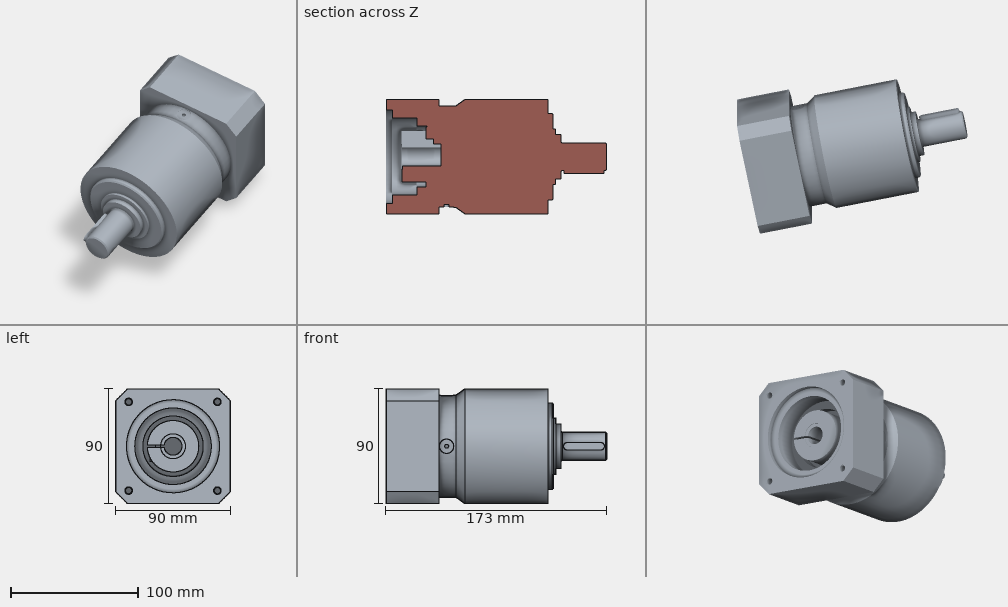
import cadquery as cq
import math

flange_side = 90.0
flange_length = 41.5
flange_corner_cut = 9.4
bolt_spacing = 69.5
bolt_hole_diameter = 5.0
bolt_hole_depth = 20.0
bolt_spot_diameter = 5.9
bolt_spot_depth = 0.1

neck_diameter = 80.0
neck_end = 54.7
body_diameter = 90.0
cone_end = 61.7
body_end = 127.0
pilot_diameter = 68.0
pilot_end = 131.0
pilot_chamfer = 1.0
cover_diameter = 44.0
cover_end = 133.0
collar_diameter = 35.0
collar_end = 137.0

shaft_diameter = 22.0
shaft_end = 173.0
shaft_chamfer = 1.0
shaft_foot_length = 1.0
shaft_foot_step = 0.6
key_width = 6.0
key_length = 32.0
key_start = 139.0
key_top = 13.5
key_seat = 7.5

spigot_diameter = 73.0
spigot_depth = 5.0
recess_diameter = 60.0
recess_depth = 24.0
well_diameter = 47.4
well_depth = 32.0
well_floor_rounding = 1.05

hub_diameter = 40.3
hub_face = 12.3
bush_diameter = 19.5
bush_setback = 0.5
bore_diameter = 14.0
bore_end = 43.0
slit_width = 1.6
slit_inner_step_radius = 13.8
slit_middle_end = 37.0
slit_outer_end = well_depth - well_floor_rounding
screw_offset = 13.8
screw_diameter = 8.5
screw_bottom = -12.0
screw_top = 0.0
screw_axis_x = 22.0

plug_x = 47.4
plug_diameter = 11.2
plug_face_radius = 39.5
socket_across_flats = 3.0
socket_depth = 2.0


def cylinder(diameter, start, end):
    """Solid cylinder on the X axis between two X positions."""
    return cq.Workplane("YZ", origin=(start, 0, 0)).circle(diameter / 2).extrude(end - start)


def truncated_cone(start_diameter, end_diameter, start, end):
    """Solid cone frustum on the X axis between two X positions."""
    profile = [
        (start, 0),
        (start, start_diameter / 2),
        (end, end_diameter / 2),
        (end, 0),
    ]
    return cq.Workplane("XY").polyline(profile).close().revolve(360, (0, 0, 0), (1, 0, 0))


def bolt_pattern(diameter, depth):
    """Four round pins on the bolt square, reaching in from the front face."""
    corners = cq.Workplane("YZ").rect(bolt_spacing, bolt_spacing, forConstruction=True).vertices()
    return corners.circle(diameter / 2).extrude(depth)


def make_flange():
    """Square plate with cut corners and four spot-faced bolt holes."""
    block = cq.Workplane("YZ").rect(flange_side, flange_side).extrude(flange_length)
    block = block.edges("|X").chamfer(flange_corner_cut)
    holes = bolt_pattern(bolt_hole_diameter, bolt_hole_depth)
    return block.cut(holes).cut(bolt_pattern(bolt_spot_diameter, bolt_spot_depth))


def make_housing():
    """Neck, cone, body and the stepped output end."""
    cone = truncated_cone(neck_diameter, body_diameter, neck_end, cone_end)
    pilot = cylinder(pilot_diameter, body_end, pilot_end).faces(">X").chamfer(pilot_chamfer)
    return (
        cylinder(neck_diameter, flange_length, neck_end)
        .union(cone)
        .union(cylinder(body_diameter, cone_end, body_end))
        .union(pilot)
        .union(cylinder(cover_diameter, pilot_end, cover_end))
        .union(cylinder(collar_diameter, cover_end, collar_end))
    )


def make_shaft():
    """Output shaft with a conical foot and a round-ended key on the -Y side."""
    shaft = cylinder(shaft_diameter, collar_end, shaft_end).faces(">X").chamfer(shaft_chamfer)
    key = (
        cq.Workplane("XZ", origin=(key_start + key_length / 2, -key_seat, 0))
        .slot2D(key_length, key_width)
        .extrude(key_top - key_seat)
    )
    foot_diameter = shaft_diameter + 2 * shaft_foot_step
    foot = truncated_cone(foot_diameter, shaft_diameter, collar_end, collar_end + shaft_foot_length)
    return shaft.union(foot).union(key)


def make_recess():
    """Stepped motor recess; the rim of its raised floor is rounded down to the well wall."""
    floor_start = well_depth - well_floor_rounding
    floor = cylinder(well_diameter, floor_start, well_depth + well_floor_rounding)
    floor = floor.faces("<X").edges().fillet(well_floor_rounding)
    return (
        cylinder(spigot_diameter, 0, spigot_depth)
        .union(cylinder(recess_diameter, 0, recess_depth))
        .union(cylinder(well_diameter, 0, well_depth))
        .cut(floor)
    )


def make_hub():
    """Clamping hub with its bush face set back from the hub face."""
    hub = cylinder(hub_diameter, hub_face, well_depth)
    return hub.cut(cylinder(bush_diameter, hub_face, hub_face + bush_setback))


def make_clamp_screw():
    """Upright screw beside the bore; its lower end stands out of the hub's round side."""
    plane = cq.Workplane("XY", origin=(screw_axis_x, screw_offset, screw_bottom))
    return plane.circle(screw_diameter / 2).extrude(screw_top - screw_bottom)


def make_slit():
    """Radial slit from the bore to the +Y side of the hub, stepping deeper toward the bore."""
    steps = [
        (hub_diameter / 2, slit_outer_end),
        (slit_inner_step_radius, slit_middle_end),
        (bush_diameter / 2, bore_end),
    ]
    slit = cylinder(bore_diameter, hub_face, bore_end)
    for reach, end in steps:
        start = cq.Workplane("XY", origin=(hub_face, 0, 0))
        step = start.box(end - hub_face, reach, slit_width, centered=(False, False, True))
        slit = slit.union(step)
    return slit


def make_plug_cut(plane):
    """Flat plug face sunk in the round neck, with a hexagon socket in its centre."""
    face = cq.Workplane(plane, origin=(plug_x, 0, 0)).workplane(offset=plug_face_radius)
    pocket = face.circle(plug_diameter / 2).extrude(neck_diameter / 2 - plug_face_radius)
    socket_across_corners = socket_across_flats / math.cos(math.pi / 6)
    socket = face.polygon(6, socket_across_corners).extrude(-socket_depth)
    return pocket.union(socket)


result = make_flange().union(make_housing()).union(make_shaft())
result = result.cut(make_recess()).union(make_hub())
result = result.union(make_clamp_screw())
result = result.cut(make_slit())
for plug_plane in ("XZ", "XY"):
    result = result.cut(make_plug_cut(plug_plane))